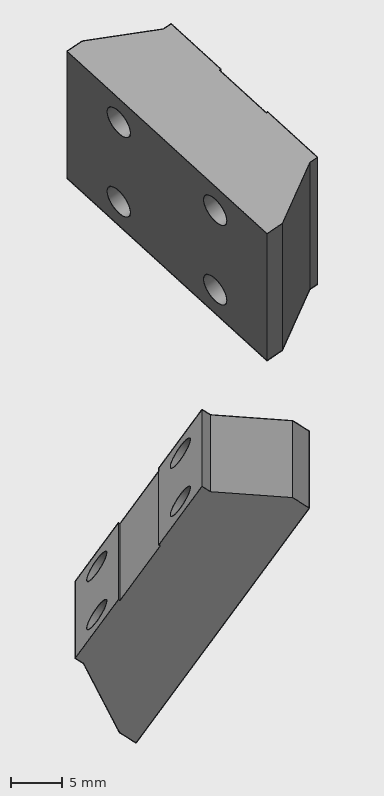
import cadquery as cq

width = 30.08
depth = 10.0
height = 20.0

back_width = 22.02
front_land = 2.0
back_land = 1.0

relief_width = 7.0
relief_depth = 0.18

hole_diameter = 3.5
hole_spacing_x = 14.5
hole_spacing_z = 12.5


def dovetail_body():
    """Symmetric dovetail outline with a relieved back, extruded along Z."""
    right_half = [
        (width / 2, 0),
        (width / 2, front_land),
        (back_width / 2, depth - back_land),
        (back_width / 2, depth),
        (relief_width / 2, depth),
        (relief_width / 2, depth - relief_depth),
    ]
    left_half = [(-x, y) for x, y in reversed(right_half)]
    outline = cq.Workplane("XY").polyline(right_half + left_half).close()
    return outline.extrude(height / 2, both=True)


def mounting_holes():
    """Four cylinders running from the front face through to the back."""
    return (
        cq.Workplane("XZ")
        .rarray(hole_spacing_x, hole_spacing_z, 2, 2)
        .circle(hole_diameter / 2)
        .extrude(-depth)
    )


result = dovetail_body().cut(mounting_holes())